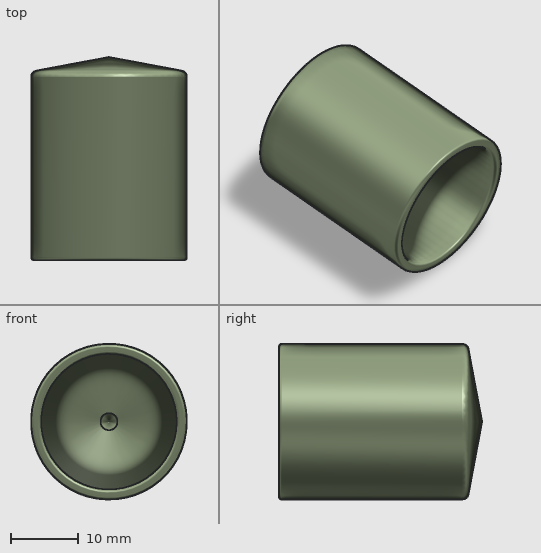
import cadquery as cq
import math

OUTER_RADIUS = 11.5
WALL = 1.5
LENGTH = 30.0
CONE_HEIGHT = 2.15
SHOULDER_FILLET = 1.0
RIM_FILLET = 0.5
DIMPLE_RADIUS = 1.25
DIMPLE_POINT_ANGLE = 90.0

BORE_RADIUS = OUTER_RADIUS - WALL
SHOULDER_Y = LENGTH - CONE_HEIGHT
CONE_SLOPE = CONE_HEIGHT / OUTER_RADIUS
CEILING_TIP_Y = LENGTH - WALL * math.hypot(1, CONE_SLOPE)
BORE_END_Y = CEILING_TIP_Y - CONE_SLOPE * BORE_RADIUS
DIMPLE_RIM_Y = CEILING_TIP_Y - CONE_SLOPE * DIMPLE_RADIUS
DIMPLE_TIP_Y = DIMPLE_RIM_Y + DIMPLE_RADIUS / math.tan(math.radians(DIMPLE_POINT_ANGLE / 2))


def revolve_about_y(profile):
    """Turn an outline of (radius, Y) points a full circle about the Y axis."""
    outline = cq.Workplane("XY").polyline(profile).close()
    return outline.revolve(360, (0, 0), (0, 1))


def cone_ended_body():
    """Solid cylinder with a shallow cone on its +Y end and a rounded shoulder."""
    body = revolve_about_y([
        (0, 0),
        (OUTER_RADIUS, 0),
        (OUTER_RADIUS, SHOULDER_Y),
        (0, LENGTH),
    ])
    return body.edges("%CIRCLE").edges(">Y").fillet(SHOULDER_FILLET)


def bore():
    """Blind bore with a conical ceiling and a steeper pointed dimple in its middle."""
    return revolve_about_y([
        (0, 0),
        (BORE_RADIUS, 0),
        (BORE_RADIUS, BORE_END_Y),
        (DIMPLE_RADIUS, DIMPLE_RIM_Y),
        (0, DIMPLE_TIP_Y),
    ])


cap = cone_ended_body().cut(bore())
result = cap.faces("<Y").edges().fillet(RIM_FILLET)